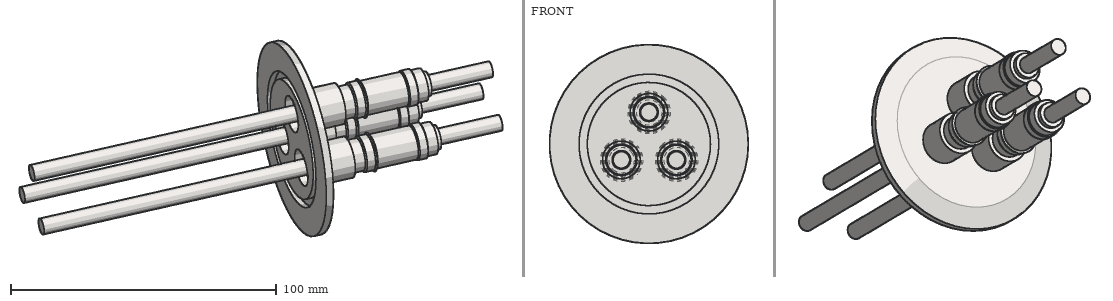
import cadquery as cq
import math

flange_radius = 75.0 / 2
flange_thickness = 5.2
rim_thickness = 3.0
bevel_top_radius = 29.5
groove_outer_radius = 26.3
groove_inner_radius = 23.2
groove_depth = 2.4

feedthrough_count = 3
pitch_radius = 12.0

rod_radius = 3.1
rod_length = 184.2
rod_back_end = 79.7
rod_front_end = rod_back_end - rod_length

boss_radius = 16.0 / 2
neck_radius = 12.7 / 2
band_radius = 7.0
bead_radius = 7.5
insulator_radius = 6.6
collar_radius = 4.8

boss_end = 18.8
neck_end = 23.4
front_band_end = 27.3
back_band_start = 45.1
back_band_end = 48.5
cap_end = 52.7
collar_end = 54.5

taper_length = 0.5
bead_peak = front_band_end + taper_length
bead_end = bead_peak + taper_length

entry_radius = 14.2 / 2
entry_depth = 3.3
sleeve_bore_radius = 5.9
insulator_chamfer = 0.4
insulator_start = neck_end
clearance_radius = 3.5
clearance_end = cap_end


def revolved_about_y(points):
    """Solid of revolution from (radius, y) outline points."""
    return cq.Workplane("XY").polyline(points).close().revolve(360, (0, 0, 0), (0, 1, 0))


def cylinder(radius, start, end):
    """Cylinder about the Y axis between two Y positions."""
    return revolved_about_y([(0, start), (radius, start), (radius, end), (0, end)])


def make_flange():
    disc = revolved_about_y([
        (0, 0),
        (flange_radius, 0),
        (flange_radius, rim_thickness),
        (bevel_top_radius, flange_thickness),
        (0, flange_thickness),
    ])
    groove = cylinder(groove_outer_radius, 0, groove_depth).cut(
        cylinder(groove_inner_radius, 0, groove_depth)
    )
    return disc.cut(groove)


def make_housing():
    """Outside of one feedthrough, from the boss at the flange to the end collar."""
    return revolved_about_y([
        (0, 0),
        (boss_radius, 0),
        (boss_radius, boss_end),
        (neck_radius, boss_end),
        (neck_radius, neck_end),
        (band_radius, neck_end + taper_length),
        (band_radius, front_band_end),
        (bead_radius, bead_peak),
        (insulator_radius, bead_end),
        (insulator_radius, back_band_start - taper_length),
        (band_radius, back_band_start),
        (band_radius, back_band_end),
        (neck_radius, back_band_end),
        (neck_radius, cap_end),
        (collar_radius, cap_end),
        (collar_radius, collar_end),
        (0, collar_end),
    ])


def make_bore():
    """Space to remove inside one feedthrough before its rod is put in."""
    return revolved_about_y([
        (0, 0),
        (entry_radius, 0),
        (entry_radius, entry_depth),
        (sleeve_bore_radius, entry_depth),
        (sleeve_bore_radius, insulator_start + insulator_chamfer),
        (sleeve_bore_radius - insulator_chamfer, insulator_start),
        (clearance_radius, insulator_start),
        (clearance_radius, clearance_end),
        (0, clearance_end),
    ])


housing = make_housing()
bore = make_bore()
rod = cylinder(rod_radius, rod_front_end, rod_back_end)

centres = []
for index in range(feedthrough_count):
    angle = math.pi / 2 + 2 * math.pi * index / feedthrough_count
    centres.append((pitch_radius * math.cos(angle), 0, pitch_radius * math.sin(angle)))

result = make_flange()
for centre in centres:
    result = result.union(housing.translate(centre))
    result = result.cut(bore.translate(centre))
    result = result.union(rod.translate(centre))